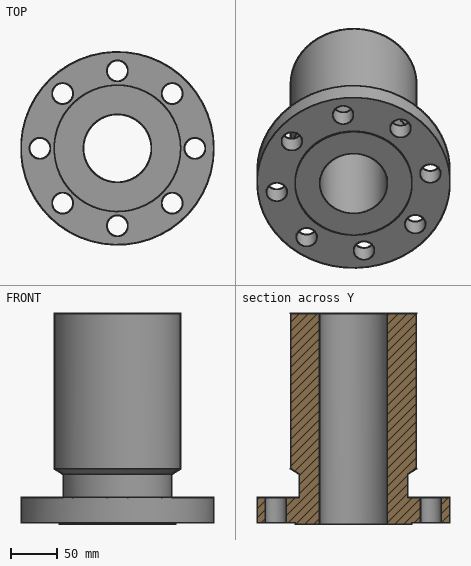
import cadquery as cq

total_height = 228.5
bore_diameter = 73.4

raised_face_diameter = 126.9
raised_face_height = 1.5

flange_diameter = 209.5
flange_thickness = 27.5

neck_diameter = 118.2

barrel_diameter = 137.2
barrel_length = 168.5
taper_height = 6.0

bolt_count = 8
bolt_circle_diameter = 168.0
bolt_hole_diameter = 22.5

flange_top = raised_face_height + flange_thickness
barrel_bottom = total_height - barrel_length
neck_top = barrel_bottom - taper_height


def make_body():
    """Revolve the outer half-profile around Z, from the raised face up to the barrel end."""
    return (
        cq.Workplane("XZ")
        .moveTo(0, 0)
        .lineTo(raised_face_diameter / 2, 0)
        .lineTo(raised_face_diameter / 2, raised_face_height)
        .lineTo(flange_diameter / 2, raised_face_height)
        .lineTo(flange_diameter / 2, flange_top)
        .lineTo(neck_diameter / 2, flange_top)
        .lineTo(neck_diameter / 2, neck_top)
        .lineTo(barrel_diameter / 2, barrel_bottom)
        .lineTo(barrel_diameter / 2, total_height)
        .lineTo(0, total_height)
        .close()
        .revolve(360, (0, 0, 0), (0, 1, 0))
    )


def make_bore():
    """Straight bore through the full height."""
    return cq.Workplane("XY").circle(bore_diameter / 2).extrude(total_height)


def make_bolt_holes():
    """Evenly spaced bolt holes through the flange, the first one on +X."""
    return (
        cq.Workplane("XY")
        .polarArray(bolt_circle_diameter / 2, 0, 360, bolt_count)
        .circle(bolt_hole_diameter / 2)
        .extrude(flange_top)
    )


result = make_body().cut(make_bore()).cut(make_bolt_holes())